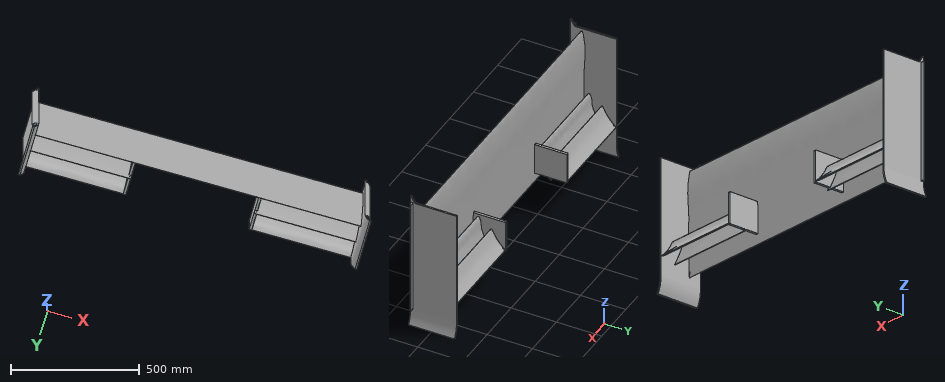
import cadquery as cq
import math

span = 1374.0
depth = 203.0
height = 607.0

sheet = 7.0
plate_top = 580.0
skirt_top = 70.0
flare_offset = 18.0
outer_face = span / 2 - flare_offset
inner_face = outer_face - sheet
lip_depth = 12.0
lip_edge = 5.0
lip_bulge = 1.0
horn_depth = 20.0
horn_shoulder = 7.0

support_outer_face = 261.0
support_thickness = 11.0
support_front = 58.0
support_bottom = 151.0
support_top = 289.0

main_section = [
    (58.4, 106.0), (62.0, 245.0), (62.0, 392.0), (60.0, 540.0), (51.0, 568.0),
    (38.0, 545.0), (32.0, 506.0), (29.0, 433.0), (33.0, 327.0), (44.0, 225.0), (58.0, 106.0),
]
middle_flap_section = [
    (133.0, 140.0), (109.0, 194.0), (98.0, 225.0), (92.0, 267.0), (84.0, 278.0),
    (74.0, 267.0), (75.0, 249.0), (85.0, 217.0), (105.0, 177.0), (132.0, 139.0),
]
rear_flap_section = [
    (203.0, 157.0), (173.0, 187.0), (157.0, 212.0), (139.0, 236.0),
    (136.0, 224.0), (145.0, 208.0), (166.0, 180.0), (203.0, 155.0),
]


def wing(section, x_start, x_end):
    """Extrude a smooth wing section along X, closed by its blunt trailing edge."""
    return (
        cq.Workplane("YZ", origin=(x_start, 0, 0))
        .moveTo(*section[0])
        .spline(section[1:], includeCurrent=True)
        .close()
        .extrude(x_end - x_start)
    )


def end_plate_sheet():
    """Flat plate whose front top corner rises into a pointed horn."""
    return (
        cq.Workplane("YZ", origin=(inner_face, 0, 0))
        .moveTo(0, skirt_top)
        .lineTo(depth, skirt_top)
        .lineTo(depth, plate_top)
        .lineTo(horn_depth, plate_top)
        .lineTo(horn_shoulder, height - horn_shoulder)
        .lineTo(horn_shoulder / 2, height)
        .lineTo(0, height)
        .close()
        .extrude(sheet)
    )


def skirt():
    """Lower edge of the sheet, curving outward from the vertical as a single arc."""
    radius = (skirt_top**2 + flare_offset**2) / (2 * flare_offset)
    half_angle = math.asin(skirt_top / radius) / 2
    middle_x = radius * (1 - math.cos(half_angle))
    middle_z = skirt_top - radius * math.sin(half_angle)
    return (
        cq.Workplane("XZ")
        .moveTo(inner_face, skirt_top)
        .threePointArc((inner_face + middle_x, middle_z), (span / 2 - sheet, 0))
        .lineTo(span / 2, 0)
        .threePointArc((outer_face + middle_x, middle_z), (outer_face, skirt_top))
        .close()
        .extrude(-depth)
    )


def front_lip():
    """Strip curling outward and back from the front edge of the sheet."""
    edge_front = lip_depth - lip_edge
    edge_x = span / 2 - lip_edge
    middle_x = (outer_face + edge_x) / 2
    return (
        cq.Workplane("XY", origin=(0, 0, skirt_top))
        .moveTo(inner_face, 0)
        .lineTo(outer_face, 0)
        .threePointArc((middle_x, edge_front / 2 - lip_bulge), (edge_x, edge_front))
        .lineTo(span / 2, lip_depth)
        .lineTo(inner_face, lip_depth)
        .close()
        .extrude(plate_top - skirt_top)
    )


def flap_support():
    """Upright plate carrying the inner ends of both flaps."""
    return cq.Workplane("XY").box(
        support_thickness, depth - support_front, support_top - support_bottom, centered=False
    ).translate((support_outer_face - support_thickness, support_front, support_bottom))


def right_side():
    """End plate, flap pair and flap support on the +X side."""
    side = end_plate_sheet().union(skirt()).union(front_lip()).union(flap_support())
    for section in (middle_flap_section, rear_flap_section):
        flap = wing(section, support_outer_face - support_thickness, outer_face)
        side = side.union(flap)
    return side


side = right_side()
main_wing = wing(main_section, -outer_face, outer_face)
result = main_wing.union(side).union(side.mirror("YZ"))